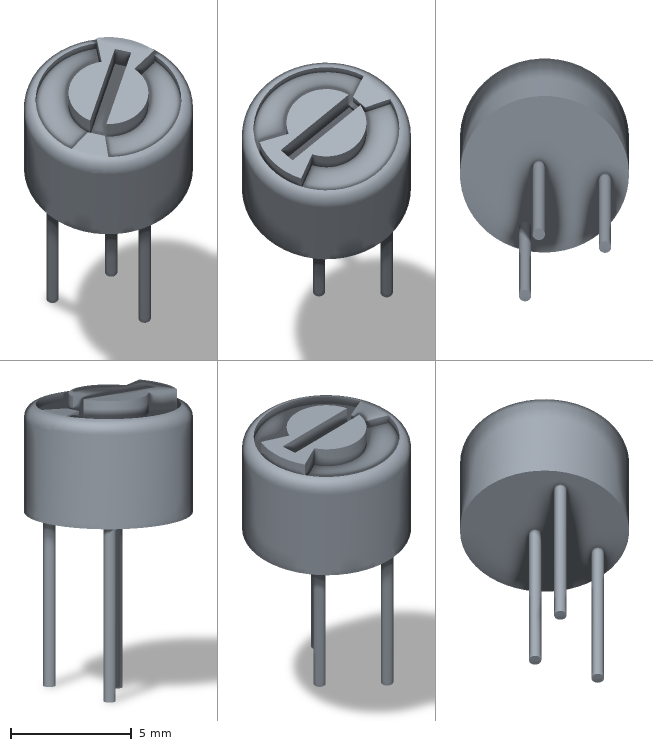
import cadquery as cq
import math

total_height = 12.54
pin_length = 7.5
body_height = 4.58
rim_height = pin_length + body_height

body_diameter = 7.01
body_radius = body_diameter / 2
rim_fillet = 0.56
recess_radius = 3.02
recess_depth = 0.38
floor_height = rim_height - recess_depth

hub_radius = 1.65
pointer_radius = 2.93
pointer_root_half_width = 0.7
pointer_tip_half_width = 1.24
slot_width = 0.7
slot_end_y = 2.3
slot_depth = 1.0

stop_inner_y = 1.88
stop_inner_half_width = 0.36
stop_outer_half_width = 0.79

pin_diameter = 0.51
pin_spacing = 1.98
outer_pin_y = -1.55
middle_pin_y = outer_pin_y + pin_spacing
pin_positions = [(-pin_spacing, outer_pin_y), (0, middle_pin_y), (pin_spacing, outer_pin_y)]


def flared_sector(inner_y, inner_half_width, outer_radius, outer_half_width, base_z, height):
    """Prism widening towards +Y, closed by an arc centred on the body axis."""
    outer_y = math.sqrt(outer_radius**2 - outer_half_width**2)
    return (
        cq.Workplane("XY", origin=(0, 0, base_z))
        .moveTo(-inner_half_width, inner_y)
        .lineTo(-outer_half_width, outer_y)
        .threePointArc((0, outer_radius), (outer_half_width, outer_y))
        .lineTo(inner_half_width, inner_y)
        .close()
        .extrude(height)
    )


def make_body():
    body = cq.Workplane("XY", origin=(0, 0, pin_length)).circle(body_radius).extrude(body_height)
    body = body.faces(">Z").edges().fillet(rim_fillet)
    recess = cq.Workplane("XY", origin=(0, 0, floor_height)).circle(recess_radius).extrude(recess_depth)
    return body.cut(recess.cut(make_stop()))


def make_rotor():
    height = total_height - floor_height
    hub = cq.Workplane("XY", origin=(0, 0, floor_height)).circle(hub_radius).extrude(height)
    root_y = math.sqrt(hub_radius**2 - pointer_root_half_width**2)
    pointer = flared_sector(
        root_y, pointer_root_half_width, pointer_radius, pointer_tip_half_width, floor_height, height
    )
    return hub.union(pointer)


def make_slot():
    length = slot_end_y + hub_radius
    return (
        cq.Workplane("XY", origin=(0, slot_end_y - length / 2, total_height - slot_depth))
        .rect(slot_width, length)
        .extrude(slot_depth)
    )


def make_stop():
    stop = flared_sector(
        stop_inner_y, stop_inner_half_width, recess_radius, stop_outer_half_width, floor_height, recess_depth
    )
    return stop.rotate((0, 0, 0), (0, 0, 1), 180)


def make_pins():
    return cq.Workplane("XY").pushPoints(pin_positions).circle(pin_diameter / 2).extrude(pin_length)


result = make_body().union(make_rotor()).cut(make_slot()).union(make_pins())